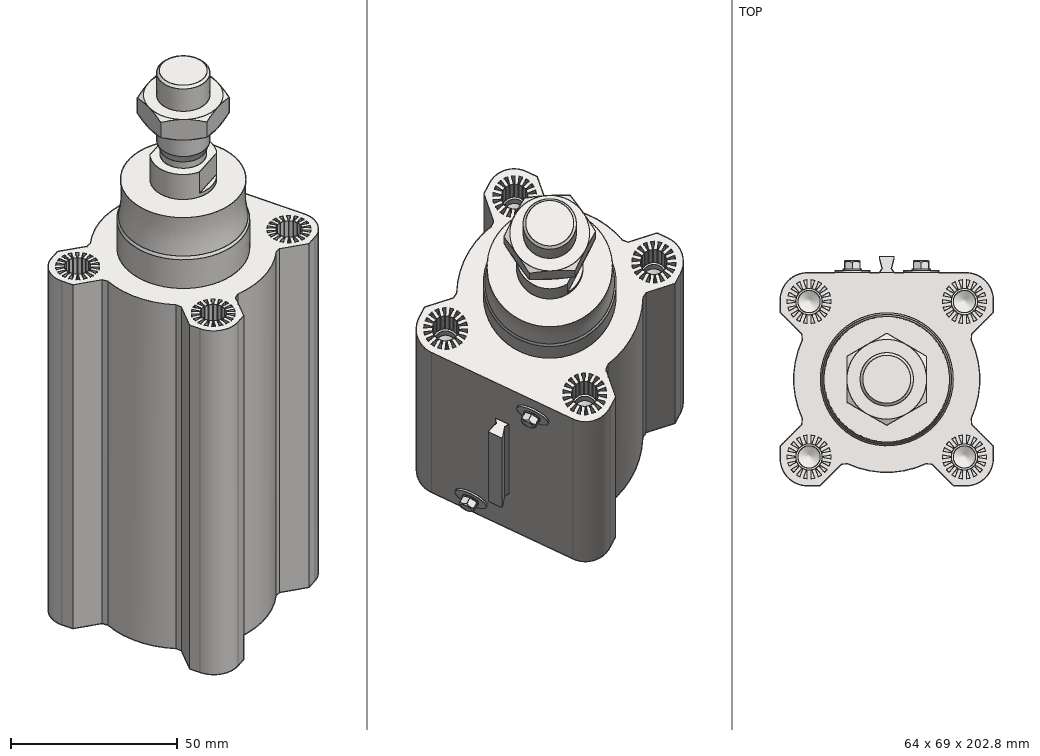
import cadquery as cq
import math

total_height = 202.8
hex_turn = 30.0

barrel_bottom = 4.0
barrel_top = 135.3
barrel_half_width = 32.0
barrel_radius = 28.0
lug_corner_radius = 8.3
lug_side_end = 20.0
lug_root = 13.5
tube_half_width = 11.8

hole_offset = 23.3
slot_ring_diameter = 13.2
slot_count = 18
slot_mouth_share = 0.2
slot_floor_share = 0.5
bore_diameter = 8.0
bore_depth = 12.2
drill_diameter = 6.7
drill_depth = 4.0
drill_tip_height = 2.0

collar_diameter = 40.0
end_chamfer = 0.6
collar_shoulder = 146.2
neck_bottom = 147.2
neck_top = 161.5
neck_bottom_radius = 19.5
neck_waist_radius = 18.7
neck_top_radius = 18.9

rail_bottom = 37.0
rail_length = 65.0
rail_face = 37.0
rail_half_width = 2.2
rail_waist_half_width = 1.5
rail_edge = 0.6
rail_foot = 1.2

plug_offset = 10.3
plug_heights = (16.8, 122.3)
plug_disc_diameter = 10.5
plug_disc_thickness = 0.6
plug_washer_diameter = 5.5
plug_washer_thickness = 0.5
plug_hex_flats = 4.7
plug_height = 3.7
plug_chamfer = 0.6

rod_diameter = 20.0
rod_bottom = barrel_top
rod_shoulder = 171.0
wrench_flats = 17.0
flats_bottom = 162.8
thread_diameter = 16.0
thread_bottom = 176.2
tip_chamfer = 0.8
groove_diameter = 14.0
groove_top = 173.4

nut_flats = 24.0
nut_bottom = 185.5
nut_thickness = 8.0
nut_chamfer_angle = 30.0


def barrel():
    """The extruded barrel: a round tube with four corner lugs and a flat +Y side."""
    edge = barrel_half_width
    lug_center = edge - lug_corner_radius
    lug_middle = lug_center + lug_corner_radius / math.sqrt(2)
    root_depth = edge - (lug_side_end - lug_root)
    tube_depth = math.sqrt(barrel_radius**2 - tube_half_width**2)
    profile = (
        cq.Workplane("XY", origin=(0, 0, barrel_bottom))
        .moveTo(0, edge)
        .lineTo(lug_center, edge)
        .threePointArc((lug_middle, lug_middle), (edge, lug_center))
        .lineTo(edge, lug_side_end)
        .lineTo(root_depth, lug_root)
        .lineTo(tube_depth, tube_half_width)
        .threePointArc((barrel_radius, 0), (tube_depth, -tube_half_width))
        .lineTo(root_depth, -lug_root)
        .lineTo(edge, -lug_side_end)
        .lineTo(edge, -lug_center)
        .threePointArc((lug_middle, -lug_middle), (lug_center, -edge))
        .lineTo(lug_side_end, -edge)
        .lineTo(lug_root, -root_depth)
        .lineTo(tube_half_width, -tube_depth)
        .radiusArc((0, -barrel_radius), barrel_radius)
        .mirrorY()
    )
    return profile.extrude(barrel_top - barrel_bottom)


def polar_point(radius, angle):
    """The X and Y of a point at this radius and angle."""
    return (radius * math.cos(angle), radius * math.sin(angle))


def lug_hole():
    """The space of one screw hole on the Z axis: a pointed bore inside a ring of wedge-shaped slots."""
    bore_radius = bore_diameter / 2
    drill_radius = drill_diameter / 2
    bore_bottom = barrel_top - bore_depth
    drill_bottom = bore_bottom - drill_depth
    bore = (
        cq.Workplane("XZ")
        .moveTo(0, barrel_top)
        .lineTo(bore_radius, barrel_top)
        .lineTo(bore_radius, bore_bottom)
        .lineTo(drill_radius, bore_bottom)
        .lineTo(drill_radius, drill_bottom)
        .lineTo(0, drill_bottom - drill_tip_height)
        .close()
        .revolve(360, (0, 0, 0), (0, 1, 0))
    )
    slot_radius = slot_ring_diameter / 2
    slot_pitch = 2 * math.pi / slot_count
    outline = []
    for index in range(slot_count):
        middle = index * slot_pitch
        outline.append(polar_point(bore_radius, middle - slot_mouth_share * slot_pitch / 2))
        outline.append(polar_point(slot_radius, middle - slot_floor_share * slot_pitch / 2))
        outline.append(polar_point(slot_radius, middle + slot_floor_share * slot_pitch / 2))
        outline.append(polar_point(bore_radius, middle + slot_mouth_share * slot_pitch / 2))
    slots = cq.Workplane("XY", origin=(0, 0, bore_bottom)).polyline(outline).close().extrude(bore_depth)
    return bore.union(slots)


def collars():
    """The bottom collar and the top collar with its waisted neck, turned as one core."""
    collar_radius = collar_diameter / 2
    return (
        cq.Workplane("XZ")
        .moveTo(0, 0)
        .lineTo(collar_radius - end_chamfer, 0)
        .lineTo(collar_radius, end_chamfer)
        .lineTo(collar_radius, collar_shoulder)
        .lineTo(neck_bottom_radius, neck_bottom)
        .threePointArc((neck_waist_radius, (neck_bottom + neck_top) / 2), (neck_top_radius, neck_top))
        .lineTo(0, neck_top)
        .close()
        .revolve(360, (0, 0, 0), (0, 1, 0))
    )


def rail():
    """A waisted rail that runs along the middle of the flat side."""
    waist = barrel_half_width + rail_foot
    return (
        cq.Workplane("XY", origin=(0, 0, rail_bottom))
        .moveTo(0, barrel_half_width)
        .lineTo(rail_half_width, barrel_half_width)
        .lineTo(rail_waist_half_width, waist)
        .lineTo(rail_half_width, rail_face - rail_edge)
        .lineTo(rail_half_width, rail_face)
        .lineTo(0, rail_face)
        .mirrorY()
        .extrude(rail_length)
    )


def port_plug(x, z):
    """A disc, a washer and a chamfered hexagon head standing on the flat side."""
    face = cq.Workplane("XZ", origin=(x, barrel_half_width, z))
    disc = face.circle(plug_disc_diameter / 2).extrude(-plug_disc_thickness)
    washer = face.circle(plug_washer_diameter / 2).extrude(-plug_disc_thickness - plug_washer_thickness)
    corner_diameter = plug_hex_flats / math.cos(math.pi / 6)
    hexagon = face.polygon(6, corner_diameter).extrude(-plug_height).rotate((x, 0, z), (x, 1, z), hex_turn)
    cap = face.circle(corner_diameter / 2).extrude(-plug_height).faces(">Y").chamfer(plug_chamfer)
    return disc.union(washer).union(hexagon.intersect(cap))


def rod():
    """The turned rod with two wrench flats facing -X and +X."""
    rod_radius = rod_diameter / 2
    thread_radius = thread_diameter / 2
    groove_radius = groove_diameter / 2
    turned = (
        cq.Workplane("XZ")
        .moveTo(0, rod_bottom)
        .lineTo(rod_radius, rod_bottom)
        .lineTo(rod_radius, rod_shoulder)
        .lineTo(groove_radius, rod_shoulder)
        .lineTo(groove_radius, groove_top)
        .lineTo(thread_radius, thread_bottom)
        .lineTo(thread_radius, total_height - tip_chamfer)
        .lineTo(thread_radius - tip_chamfer, total_height)
        .lineTo(0, total_height)
        .close()
        .revolve(360, (0, 0, 0), (0, 1, 0))
    )
    flats_height = rod_shoulder - flats_bottom
    flats_plane = cq.Workplane("XY", origin=(0, 0, flats_bottom))
    between_flats = flats_plane.rect(wrench_flats, rod_diameter).extrude(flats_height)
    outside_flats = flats_plane.rect(2 * rod_diameter, 2 * rod_diameter).extrude(flats_height).cut(between_flats)
    return turned.cut(outside_flats)


def nut():
    """A hexagon nut with its corners on the Y axis and both ends chamfered."""
    corner_radius = nut_flats / 2 / math.cos(math.pi / 6)
    chamfer_width = corner_radius - nut_flats / 2
    chamfer_height = chamfer_width * math.tan(math.radians(nut_chamfer_angle))
    plane = cq.Workplane("XY", origin=(0, 0, nut_bottom))
    hexagon = plane.polygon(6, 2 * corner_radius).extrude(nut_thickness)
    hexagon = hexagon.rotate((0, 0, 0), (0, 0, 1), hex_turn)
    envelope = (
        plane.circle(corner_radius)
        .extrude(nut_thickness)
        .faces("<Z or >Z")
        .chamfer(chamfer_height, chamfer_width)
    )
    return hexagon.intersect(envelope).cut(plane.circle(thread_diameter / 2).extrude(nut_thickness))


def housing():
    """Barrel, collars, rail and port plugs in one piece, with the screw holes and the rod bore."""
    body = barrel().union(collars()).union(rail())
    lower_height, upper_height = plug_heights
    body = body.union(port_plug(plug_offset, lower_height))
    body = body.union(port_plug(-plug_offset, upper_height))
    hole = lug_hole()
    for x in (-hole_offset, hole_offset):
        for y in (-hole_offset, hole_offset):
            body = body.cut(hole.translate((x, y, 0)))
    rod_bore = cq.Workplane("XY", origin=(0, 0, rod_bottom)).circle(rod_diameter / 2)
    return body.cut(rod_bore.extrude(neck_top - rod_bottom))


result = cq.Compound.makeCompound([housing().val(), rod().val(), nut().val()])